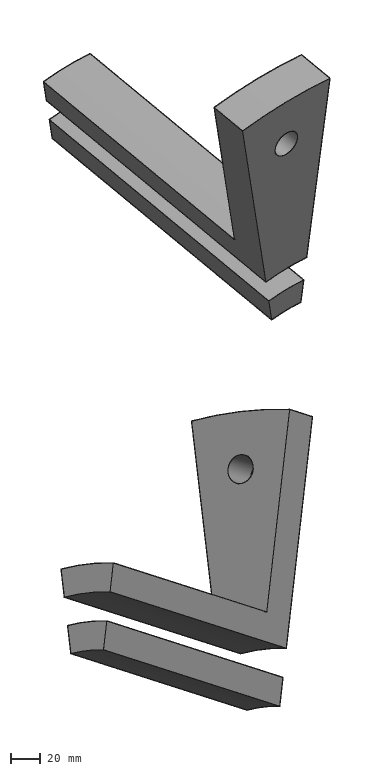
import cadquery as cq
import math

LENGTH = 230.0
WEDGE_ANGLE = 15.0
LAYER = 20.0

LOWER_INNER_RADIUS = 100.0
LOWER_OUTER_RADIUS = LOWER_INNER_RADIUS + LAYER
UPPER_INNER_RADIUS = LOWER_OUTER_RADIUS + LAYER
UPPER_OUTER_RADIUS = UPPER_INNER_RADIUS + LAYER

FLANGE_OUTER_RADIUS = 300.0
FLANGE_THICKNESS = 30.0
FLANGE_START = LENGTH - FLANGE_THICKNESS

HOLE_DIAMETER = 20.0
HOLE_RADIAL_POSITION = FLANGE_OUTER_RADIUS - 2 * HOLE_DIAMETER


def ring_point(radius, angle):
    """Point (Y, Z) at an angle in degrees from the +Z direction."""
    tilt = math.radians(angle)
    return radius * math.sin(tilt), radius * math.cos(tilt)


def wedge(inner_radius, outer_radius, start, length):
    """Ring segment extruded along X from the given start."""
    half = WEDGE_ANGLE / 2
    return (
        cq.Workplane("YZ", origin=(start, 0, 0))
        .moveTo(*ring_point(inner_radius, -half))
        .lineTo(*ring_point(outer_radius, -half))
        .threePointArc(ring_point(outer_radius, 0), ring_point(outer_radius, half))
        .lineTo(*ring_point(inner_radius, half))
        .threePointArc(ring_point(inner_radius, 0), ring_point(inner_radius, -half))
        .close()
        .extrude(length)
    )


def make_bracket():
    """L-shaped segment: a bar with a tall drilled flange at its +X end."""
    bar = wedge(UPPER_INNER_RADIUS, UPPER_OUTER_RADIUS, 0, LENGTH)
    flange = wedge(UPPER_INNER_RADIUS, FLANGE_OUTER_RADIUS, FLANGE_START, FLANGE_THICKNESS)
    hole = (
        cq.Workplane("YZ", origin=(FLANGE_START, 0, HOLE_RADIAL_POSITION))
        .circle(HOLE_DIAMETER / 2)
        .extrude(FLANGE_THICKNESS)
    )
    return bar.union(flange).cut(hole).solids()


def make_lower_bar():
    """Plain bar below the bracket, separated from it by a gap."""
    return wedge(LOWER_INNER_RADIUS, LOWER_OUTER_RADIUS, 0, LENGTH)


bracket = make_bracket()
lower_bar = make_lower_bar()

result = cq.Compound.makeCompound([bracket.val(), lower_bar.val()])